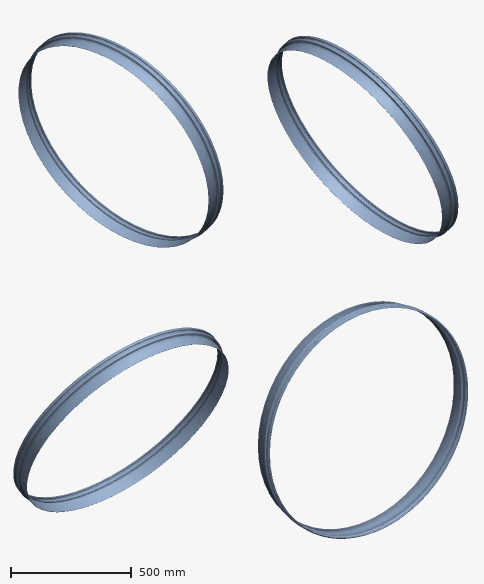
import cadquery as cq
import math

outer_diameter = 1026.0
ring_width = 89.0
sheet_thickness = 2.0

rib_radius = outer_diameter / 2
valley_radius = 1017.0 / 2
band_start_radius = 1008.0 / 2
band_end_radius = 1006.0 / 2

rib_pitch = 22.0
first_rib_centre = 9.0
second_rib_centre = first_rib_centre + rib_pitch
rib_crest_width = 8.0
bend_angle = math.radians(65)

inside_bend_rounding = 1.0
outside_bend_rounding = inside_bend_rounding + sheet_thickness


def rib_points(centre, radius_before, radius_after, depth):
    """(axial, radius) points of one rib, foot to foot, at a depth below the outer face."""
    half_crest = rib_crest_width / 2 - depth * math.tan(bend_angle / 2)
    run_before = (rib_radius - radius_before) / math.tan(bend_angle)
    run_after = (rib_radius - radius_after) / math.tan(bend_angle)
    return [
        (centre - half_crest - run_before, radius_before - depth),
        (centre - half_crest, rib_radius - depth),
        (centre + half_crest, rib_radius - depth),
        (centre + half_crest + run_after, radius_after - depth),
    ]


def sheet_line(depth):
    """Line along the sheet at a depth below its outer face, from the ribbed end."""
    return (
        [(0, valley_radius - depth)]
        + rib_points(first_rib_centre, valley_radius, valley_radius, depth)
        + rib_points(second_rib_centre, valley_radius, band_start_radius, depth)
        + [(ring_width, band_end_radius - depth)]
    )


def ribbed_ring():
    """Revolve the sheet section about Y, with the ribbed end facing +Y."""
    boundary = sheet_line(0) + sheet_line(sheet_thickness)[::-1]
    section = [(radius, ring_width / 2 - axial) for axial, radius in boundary]
    return cq.Workplane("XY").polyline(section).close().revolve(360, (0, 0, 0), (0, 1, 0))


def round_bends(ring, bend_radius, rounding):
    """Round the circular edges of the given radius, leaving those of the two rims sharp."""
    tolerance = sheet_thickness / 10
    bends = [
        edge
        for edge in ring.edges("%CIRCLE").vals()
        if abs(edge.radius() - bend_radius) < tolerance
        and abs(edge.Center().y) < ring_width / 2 - tolerance
    ]
    return ring.newObject(bends).fillet(rounding)


result = ribbed_ring()
result = round_bends(result, rib_radius, outside_bend_rounding)
result = round_bends(result, rib_radius - sheet_thickness, inside_bend_rounding)
result = round_bends(result, valley_radius, inside_bend_rounding)
result = round_bends(result, valley_radius - sheet_thickness, outside_bend_rounding)